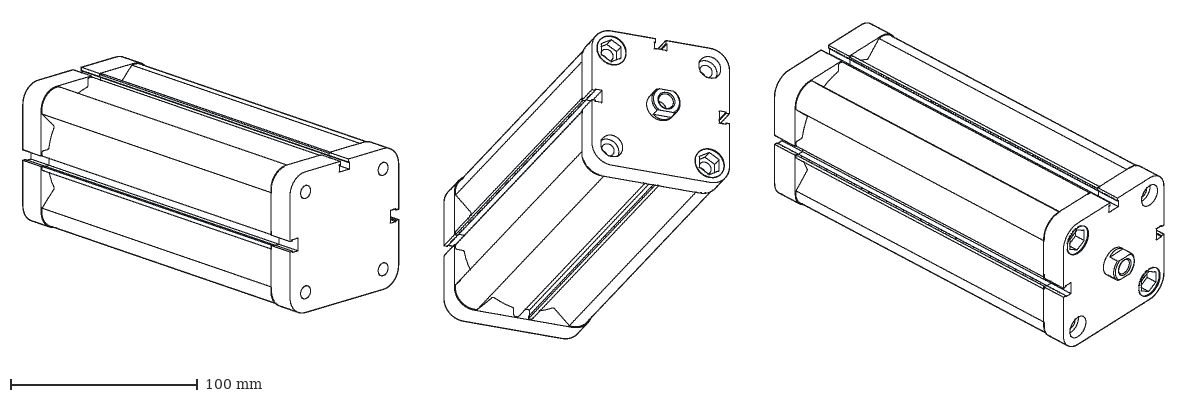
import cadquery as cq
import math

total_length = 218.0
rod_projection = 8.0
front_cap_length = 14.4
rear_cap_length = 15.0
front_cap_start = rod_projection
tube_start = front_cap_start + front_cap_length
rear_cap_start = total_length - rear_cap_length
tube_length = rear_cap_start - tube_start

cap_width = 79.5
cap_corner_radius = 11.3
screw_offset = 28.3
screw_hole_diameter = 7.2

slot_neck_width = 5.9
slot_wide_width = 7.2
slot_neck_depth = 2.0
slot_depth = 5.9
slot_neck_bottom = cap_width / 2 - slot_neck_depth
slot_floor = cap_width / 2 - slot_depth

socket_width = 11.3
socket_depth = 7.0
socket_rim_diameter = 16.8
socket_rim_depth = 0.7
counterbore_diameter = 12.6
counterbore_depth = 5.5

tube_half_width = 39.2
lobe_radius = tube_half_width - screw_offset
lobe_edge = 26.5
wall_radius = 34.7
flank_blend_radius = 1.0
rib_width = 11.1
rib_top = tube_half_width
rib_edge_radius = 1.0
rib_foot_radius = 0.9
edge_tolerance = 0.2

rod_diameter = 16.4
rod_chamfer = 0.7
rod_flat_width = 12.6
rod_flat_length = 6.0
rod_step_tilt = 15.0
thread_diameter = 8.5
thread_depth = 11.0
thread_chamfer = 0.7
drill_point_angle = 118.0

side_angles = (0, 90, 180, 270)
slotted_cap_angles = (0, 90, 270)


def section(x):
    """Workplane across the axis at x, with local x along Y and local y along Z."""
    return cq.Workplane("YZ", origin=(x, 0, 0))


def turned(shape, angle):
    """Shape turned about the cylinder axis."""
    return shape.rotate((0, 0, 0), (1, 0, 0), angle)


def screw_points(corners):
    return [(sy * screw_offset, sz * screw_offset) for sy, sz in corners]


socket_corners = [(1, 1), (-1, -1)]
counterbored_corners = [(1, -1), (-1, 1)]
all_corners = socket_corners + counterbored_corners
all_screws = screw_points(all_corners)
socket_screws = screw_points(socket_corners)
counterbored_screws = screw_points(counterbored_corners)


def screw_holes(x, length):
    return section(x).pushPoints(all_screws).circle(screw_hole_diameter / 2).extrude(length)


def slot_cutter(x, length):
    """T slot open at the top side: a neck above a wider channel."""
    neck_height = cap_width / 2 - slot_floor
    neck = section(x).center(0, slot_floor + neck_height / 2).rect(slot_neck_width, neck_height)
    channel_height = slot_neck_bottom - slot_floor
    channel = section(x).center(0, slot_floor + channel_height / 2).rect(slot_wide_width, channel_height)
    return neck.extrude(length).union(channel.extrude(length))


def make_cap(x, length):
    cap = section(x).rect(cap_width, cap_width).extrude(length)
    cap = cap.edges("|X").fillet(cap_corner_radius)
    slot = slot_cutter(x, length)
    for angle in slotted_cap_angles:
        cap = cap.cut(turned(slot, angle))
    return cap.cut(screw_holes(x, length))


def make_front_cap():
    x = front_cap_start
    cap = make_cap(x, front_cap_length)
    rims = section(x).pushPoints(socket_screws).circle(socket_rim_diameter / 2).extrude(socket_rim_depth)
    socket_corner_diameter = socket_width / math.cos(math.radians(30))
    socket = section(x).polygon(6, socket_corner_diameter).extrude(socket_depth)
    socket = turned(socket, 90)
    cap = cap.cut(rims)
    for y, z in socket_screws:
        cap = cap.cut(socket.translate((0, y, z)))
    counterbores = section(x).pushPoints(counterbored_screws).circle(counterbore_diameter / 2)
    rod_hole = section(x).circle(rod_diameter / 2).extrude(front_cap_length)
    return cap.cut(counterbores.extrude(counterbore_depth)).cut(rod_hole)


def lobe_height(offset):
    """Height of the lobe surface at a sideways offset from the tube's middle plane."""
    return screw_offset + math.sqrt(lobe_radius**2 - (screw_offset - offset) ** 2)


def wall_height(offset):
    """Height of the round wall at a sideways offset from the tube's middle plane."""
    return math.sqrt(wall_radius**2 - offset**2)


def flank_foot():
    """Point where the 45 degree flank running down from the lobe edge meets the round wall."""
    rise = lobe_height(lobe_edge) - lobe_edge
    offset = (math.sqrt(2 * wall_radius**2 - rise**2) - rise) / 2
    return offset, offset + rise


def turned_point(offset, height, angle):
    """Top-side section point carried clockwise to another side of the tube."""
    turn = math.radians(angle)
    return (
        offset * math.cos(turn) + height * math.sin(turn),
        height * math.cos(turn) - offset * math.sin(turn),
    )


def tube_outline():
    """Closed outline of the tube without its slots, drawn clockwise from the top side."""
    foot_offset, foot_height = flank_foot()
    rib_edge = rib_width / 2
    mid_offset = (foot_offset + rib_edge) / 2
    lobe_mid = screw_offset + lobe_radius * math.sin(math.radians(45))
    lobe_end = (lobe_edge, lobe_height(lobe_edge))

    outline = section(tube_start).moveTo(-lobe_end[0], lobe_end[1])
    for angle in side_angles:
        def at(offset, height):
            return turned_point(offset, height, angle)

        outline = (
            outline.lineTo(*at(-foot_offset, foot_height))
            .threePointArc(at(-mid_offset, wall_height(mid_offset)), at(-rib_edge, wall_height(rib_edge)))
            .lineTo(*at(-rib_edge, rib_top))
            .lineTo(*at(rib_edge, rib_top))
            .lineTo(*at(rib_edge, wall_height(rib_edge)))
            .threePointArc(at(mid_offset, wall_height(mid_offset)), at(foot_offset, foot_height))
            .lineTo(*at(*lobe_end))
            .threePointArc(at(lobe_mid, lobe_mid), at(lobe_end[1], lobe_end[0]))
        )
    return outline.close()


def edges_along(tube, offset, height):
    """Lengthwise tube edges at (+-offset, height) on the top side and their copies on every side."""
    found = []
    for y, z in [(offset, height), (height, offset)]:
        for sy, sz in all_corners:
            low = (tube_start, sy * y - edge_tolerance, sz * z - edge_tolerance)
            high = (rear_cap_start, sy * y + edge_tolerance, sz * z + edge_tolerance)
            found += tube.edges("|X").edges(cq.selectors.BoxSelector(low, high)).vals()
    return tube.newObject(found)


def make_tube():
    tube = tube_outline().extrude(tube_length)
    tube = edges_along(tube, *flank_foot()).fillet(flank_blend_radius)
    tube = edges_along(tube, rib_width / 2, wall_height(rib_width / 2)).fillet(rib_foot_radius)
    tube = edges_along(tube, rib_width / 2, rib_top).fillet(rib_edge_radius)
    slot = slot_cutter(tube_start, tube_length)
    for angle in side_angles:
        tube = tube.cut(turned(slot, angle))
    return tube.cut(screw_holes(tube_start, tube_length))


def rod_flat_cutter(sign):
    """Block above (sign 1) or below (sign -1) the rod that leaves a flat with a leaning step."""
    low = rod_flat_width / 2
    high = rod_diameter
    lean = (high - low) * math.tan(math.radians(rod_step_tilt))
    outline = [
        (0, sign * low),
        (rod_flat_length, sign * low),
        (rod_flat_length + lean, sign * high),
        (0, sign * high),
    ]
    return cq.Workplane("XZ").polyline(outline).close().extrude(rod_diameter, both=True)


def make_rod():
    rod_length = tube_start
    rod = section(0).circle(rod_diameter / 2).extrude(rod_length).faces("<X").chamfer(rod_chamfer)
    for sign in (1, -1):
        rod = rod.cut(rod_flat_cutter(sign))
    radius = thread_diameter / 2
    point_depth = radius / math.tan(math.radians(drill_point_angle / 2))
    hole = (
        cq.Workplane("XY")
        .moveTo(0, 0)
        .lineTo(0, radius + thread_chamfer)
        .lineTo(thread_chamfer, radius)
        .lineTo(thread_depth, radius)
        .lineTo(thread_depth + point_depth, 0)
        .close()
        .revolve(360, (0, 0, 0), (1, 0, 0))
    )
    return rod.cut(hole)


front_cap = make_front_cap()
tube = make_tube()
rear_cap = make_cap(rear_cap_start, rear_cap_length)
piston_rod = make_rod()

result = cq.Compound.makeCompound(
    [body.solids().val() for body in (front_cap, tube, rear_cap, piston_rod)]
)